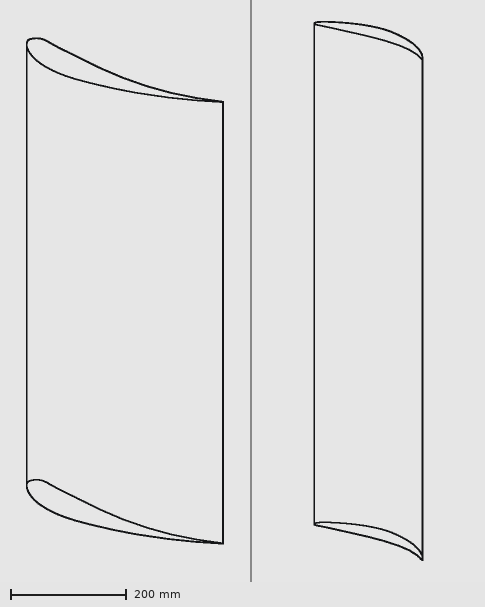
import cadquery as cq

span = 880.0
chord = 399.0
depth = 87.0

tail_thickness = 2.0
tail_top = (chord, depth)
tail_bottom = (chord, depth - tail_thickness)

back = [
    (352.0, 70.0),
    (299.0, 58.0),
    (238.0, 53.0),
    (158.0, 57.0),
    (88.0, 69.0),
    (40.0, 77.0),
]

nose = [
    (11.0, 78.0),
    (0.0, 65.0),
    (4.0, 52.0),
]

belly = [
    (18.0, 37.0),
    (44.0, 18.5),
    (79.0, 5.0),
    (123.0, 0.0),
    (176.0, 5.0),
    (242.0, 19.0),
    (317.0, 45.0),
]


def blade_section():
    """Cambered section: one smooth curve around the nose, closed by the flat tail edge."""
    return (
        cq.Workplane("XY")
        .moveTo(*tail_top)
        .spline(back + nose + belly + [tail_bottom], includeCurrent=True)
        .close()
    )


result = blade_section().extrude(span)